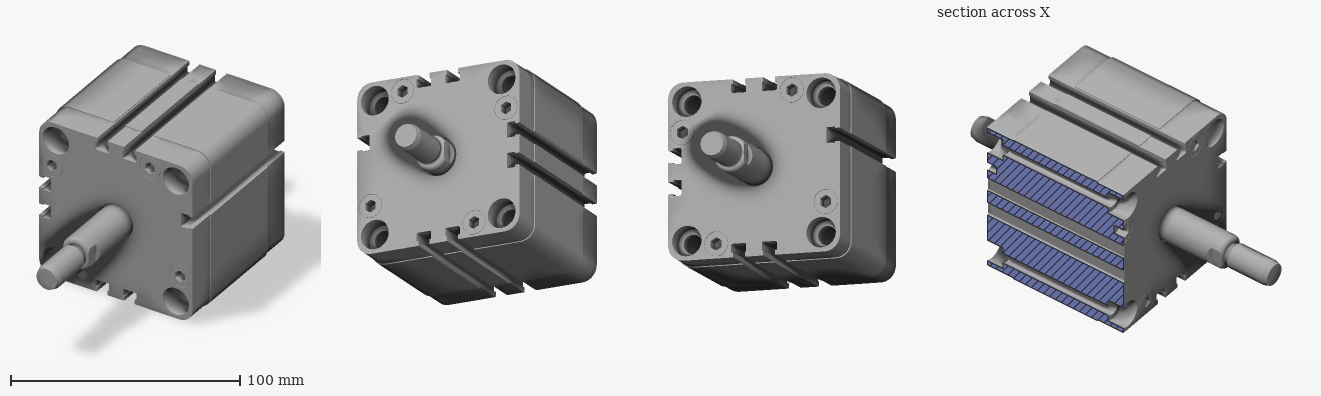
import cadquery as cq
import math

total_length = 163.0
body_front = -25.0
body_back = 50.0
cap_length = 14.3
body_middle = (body_front + body_back) / 2
body_length = body_back - body_front

barrel_side = 80.0
cap_side = 79.2
corner_radius = 7.0

mount_offset = 31.0
mount_diameter = 8.6
mount_recess_diameter = 13.5
mount_recess_depth = 8.5

screw_near = 17.5
screw_far = 33.1
screw_recess_diameter = 11.1
screw_head_diameter = 10.8
screw_groove_depth = 0.5
socket_across_flats = 5.0
socket_depth = 5.0

slot_depth = 6.5
lip_depth = 2.6
slot_inner_wall = 3.6
slot_outer_wall = 10.6
mouth_inner_wall = 4.2
mouth_outer_wall = 9.6
mouth_round = 0.5
slot_floor_round = 1.0

single_slot_center = 12.0
single_slot_width = 7.0
single_mouth_width = 5.9

rod_diameter = 16.0
bore_diameter = 17.6
bore_depth = 2.0
shoulder_round = 2.0
neck_diameter = 10.0
neck_length = 2.1
thread_diameter = 12.0
thread_root_chamfer = 0.5
tip_diameter = 10.5
tip_chamfer_length = 2.6
thread_end_length = 23.8
flat_spacing = 13.0
flat_length = 5.9

cut_margin = 1.6
barrel_half = barrel_side / 2


def rounded_prism(side, y_start, length):
    """Square bar along Y with rounded long edges."""
    bar = cq.Workplane("XY").box(side, length, side).edges("|Y").fillet(corner_radius)
    return bar.translate((0, y_start + length / 2, 0))


def cylinder(x, z, diameter, y_start, length):
    """Cylinder along +Y starting at y_start."""
    start = cq.Vector(x, y_start, z)
    return cq.Workplane(cq.Solid.makeCylinder(diameter / 2, length, start, cq.Vector(0, 1, 0)))


def mirror_to_back(shape):
    """Copy of a front feature at the back end of the body."""
    return shape.mirror("XZ", (0, body_middle, 0))


def cut_along_body(profile):
    """Cutter with an XZ profile that runs past both ends of the body."""
    length = body_length + 2 * cut_margin
    return profile.extrude(-length).translate((0, body_front - cut_margin, 0))


def paired_slot_cutter():
    """Undercut slot in the +Z face, on the +X side of the middle."""
    floor = barrel_half - slot_depth
    lip = barrel_half - lip_depth
    cap_face = cap_side / 2
    profile = (
        cq.Workplane("XZ")
        .moveTo(slot_inner_wall, floor)
        .lineTo(slot_outer_wall - slot_floor_round, floor)
        .radiusArc((slot_outer_wall, floor + slot_floor_round), -slot_floor_round)
        .lineTo(slot_outer_wall, lip)
        .lineTo(mouth_outer_wall, lip)
        .lineTo(mouth_outer_wall, cap_face - mouth_round)
        .radiusArc((mouth_outer_wall + mouth_round, cap_face), mouth_round)
        .lineTo(mouth_outer_wall + mouth_round, barrel_half + cut_margin)
        .lineTo(mouth_inner_wall, barrel_half + cut_margin)
        .lineTo(mouth_inner_wall, lip)
        .lineTo(slot_inner_wall, lip)
        .close()
    )
    return cut_along_body(profile)


def single_slot_cutter():
    """Square-cornered undercut slot in the +X face."""
    channel_height = slot_depth - lip_depth
    channel_center = barrel_half - slot_depth + channel_height / 2
    mouth_height = slot_depth + cut_margin
    mouth_center = barrel_half - slot_depth + mouth_height / 2
    channel = (
        cq.Workplane("XZ")
        .center(channel_center, single_slot_center)
        .rect(channel_height, single_slot_width)
    )
    mouth = (
        cq.Workplane("XZ")
        .center(mouth_center, single_slot_center)
        .rect(mouth_height, single_mouth_width)
    )
    return cut_along_body(channel).union(cut_along_body(mouth))


def mount_hole_cutter(x, z):
    """Through hole, counterbored at both ends."""
    hole = cylinder(x, z, mount_diameter, body_front, body_length)
    recess = cylinder(x, z, mount_recess_diameter, body_front, mount_recess_depth)
    return hole.union(recess).union(mirror_to_back(recess))


def screw_cutter(x, z):
    """Fine groove around a screw head and its hexagon socket, in the front cap."""
    groove = cylinder(x, z, screw_recess_diameter, body_front, screw_groove_depth)
    groove = groove.cut(cylinder(x, z, screw_head_diameter, body_front, screw_groove_depth))
    socket_corner_diameter = socket_across_flats / math.cos(math.pi / 6)
    socket = (
        cq.Workplane("XZ")
        .polygon(6, socket_corner_diameter)
        .extrude(-socket_depth)
        .rotate((0, 0, 0), (0, 1, 0), 30)
        .translate((x, body_front, z))
    )
    return groove.union(socket)


def rod_half():
    """Rod from the origin to its tip at +Y, turned about Y."""
    end = total_length / 2
    rod_radius = rod_diameter / 2
    neck_radius = neck_diameter / 2
    thread_radius = thread_diameter / 2
    shoulder = end - thread_end_length
    thread_root = shoulder + neck_length
    turned = (
        cq.Workplane("XY")
        .lineTo(rod_radius, 0)
        .lineTo(rod_radius, shoulder - shoulder_round)
        .radiusArc((rod_radius - shoulder_round, shoulder), -shoulder_round)
        .lineTo(neck_radius, shoulder)
        .lineTo(neck_radius, thread_root)
        .lineTo(thread_radius - thread_root_chamfer, thread_root)
        .lineTo(thread_radius, thread_root + thread_root_chamfer)
        .lineTo(thread_radius, end - tip_chamfer_length)
        .lineTo(tip_diameter / 2, end)
        .lineTo(0, end)
        .close()
        .revolve(360, (0, 0, 0), (0, 1, 0))
    )

    half_flat = flat_spacing / 2
    runout = rod_diameter / 2 - half_flat + cut_margin
    flat_end = shoulder - flat_length
    flat = (
        cq.Workplane("XY")
        .moveTo(half_flat, shoulder)
        .lineTo(half_flat, flat_end)
        .lineTo(half_flat + runout, flat_end - runout)
        .lineTo(half_flat + runout, shoulder)
        .close()
        .extrude(rod_diameter, both=True)
    )
    return turned.cut(flat).cut(flat.mirror("YZ"))


body = rounded_prism(cap_side, body_front, body_length)
body = body.union(rounded_prism(barrel_side, body_front + cap_length, body_length - 2 * cap_length))

slot = paired_slot_cutter()
slot_pair = slot.union(slot.mirror("YZ"))
for turn in (0, -90, 180):
    body = body.cut(slot_pair.rotate((0, 0, 0), (0, 1, 0), turn))
body = body.cut(single_slot_cutter())

for x in (-mount_offset, mount_offset):
    for z in (-mount_offset, mount_offset):
        body = body.cut(mount_hole_cutter(x, z))

for x, z in (
    (screw_near, screw_far),
    (screw_far, -screw_near),
    (-screw_near, -screw_far),
    (-screw_far, screw_near),
):
    screw = screw_cutter(x, z)
    body = body.cut(screw).cut(mirror_to_back(screw))

clearance = cylinder(0, 0, bore_diameter, body_front, bore_depth)
body = body.cut(clearance).cut(mirror_to_back(clearance))

half = rod_half()
rod = half.union(half.mirror("XZ"))
result = body.union(rod)